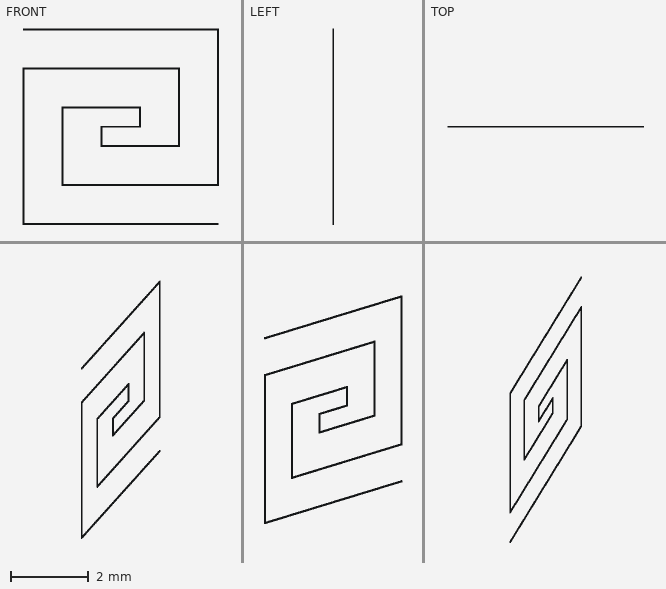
import cadquery as cq

outer_size = 5.03
trace_width = 0.025
thickness = 0.01
pitches_across = 5

pitch = (outer_size - trace_width) / pitches_across

arm_corners = [
    (0.0, 0.0),
    (0.5, 0.0),
    (0.5, 0.5),
    (-1.5, 0.5),
    (-1.5, -1.5),
    (2.5, -1.5),
    (2.5, 2.5),
    (-2.5, 2.5),
]


def spiral_centreline():
    """Points of the full path, from one outer end through the centre to the other."""
    second_arm = [(-x, -z) for x, z in reversed(arm_corners[1:])]
    points = [(x * pitch, z * pitch) for x, z in second_arm + arm_corners[1:]]
    points[0] = (points[0][0] - trace_width / 2, points[0][1])
    points[-1] = (points[-1][0] + trace_width / 2, points[-1][1])
    return points


def make_segment(start, end):
    """Straight flat bar between two corners, lengthened to close the square corners."""
    (x0, z0), (x1, z1) = start, end
    length_x = abs(x1 - x0) + trace_width
    length_z = abs(z1 - z0) + trace_width
    bar = cq.Workplane("XY").box(length_x, thickness, length_z)
    return bar.translate(((x0 + x1) / 2, 0, (z0 + z1) / 2))


def make_trace():
    """All the bars of the path joined into one flat ribbon."""
    points = spiral_centreline()
    trace = make_segment(points[0], points[1])
    for start, end in zip(points[1:], points[2:]):
        trace = trace.union(make_segment(start, end))
    return trace


result = make_trace()